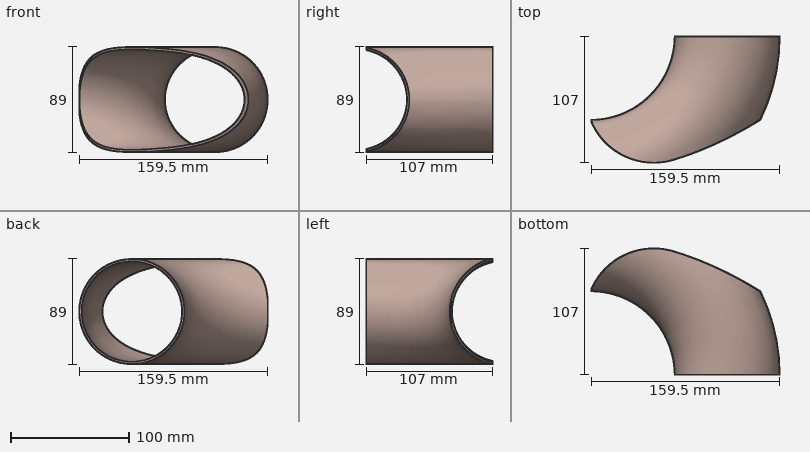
import cadquery as cq
import math

pipe_diameter = 89.0
wall = 2.0
overall_length = 159.5
trim_corner_radius = 57.4
trim_tangent_x = 69.5

pipe_radius = pipe_diameter / 2
bore_radius = pipe_radius - wall
bend_radius = overall_length - pipe_radius
inner_bend_radius = bend_radius - pipe_radius


def saddle_y(x):
    """Parabola on which the bend meets an equal run pipe along X, centred at Y = -bend_radius."""
    return -bend_radius + x**2 / (4 * bend_radius)


def saddle_slope(x):
    return x / (2 * bend_radius)


def pipe_bend():
    """Full quarter bend, before trimming."""
    ring = cq.Workplane("XZ").center(bend_radius, 0).circle(pipe_radius).circle(bore_radius)
    return ring.revolve(90, (-bend_radius, 1.6), (-bend_radius, 0))


def trim_envelope():
    """Block through the full height that holds the part of the bend to keep."""
    margin = 8.0
    far_x = overall_length + margin
    tangent_y = saddle_y(trim_tangent_x)

    pole_x = (trim_tangent_x + far_x) / 2
    pole_y = tangent_y + saddle_slope(trim_tangent_x) * (pole_x - trim_tangent_x)

    normal_angle = math.atan(saddle_slope(trim_tangent_x))
    center_x = trim_tangent_x - trim_corner_radius * math.sin(normal_angle)
    center_y = tangent_y + trim_corner_radius * math.cos(normal_angle)

    def arc_point(angle):
        return (
            center_x + trim_corner_radius * math.cos(angle),
            center_y + trim_corner_radius * math.sin(angle),
        )

    start_angle = math.pi + math.acos(center_x / trim_corner_radius)
    end_angle = 3 * math.pi / 2 + normal_angle
    arc_middle = arc_point((start_angle + end_angle) / 2)

    outline = (
        cq.Workplane("XY")
        .workplane(offset=-pipe_radius - margin)
        .moveTo(*arc_point(start_angle))
        .threePointArc(arc_middle, (trim_tangent_x, tangent_y))
        .bezier([(pole_x, pole_y), (far_x, saddle_y(far_x))], includeCurrent=True)
        .lineTo(far_x, margin)
        .lineTo(-margin, margin)
        .lineTo(-margin, -inner_bend_radius)
        .lineTo(0, -inner_bend_radius)
        .close()
    )
    return outline.extrude(pipe_diameter + 2 * margin)


result = pipe_bend().intersect(trim_envelope())